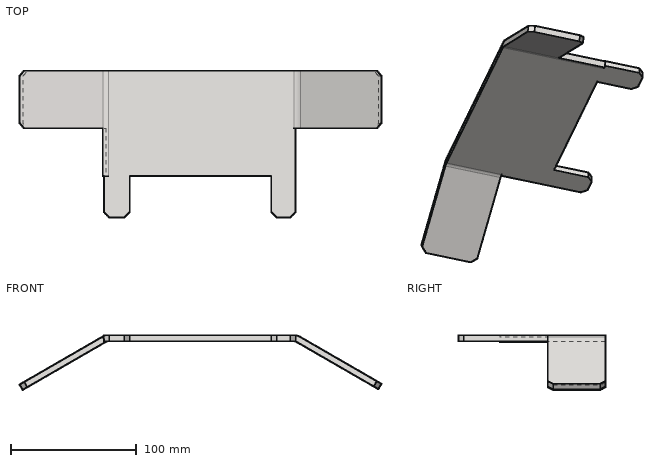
import cadquery as cq
import math

thickness = 5.05
bend_angle = 30.0
left_bend_x = -73.5
right_bend_x = 74.0
left_bend_radius = 9.0
right_bend_radius = 10.6

overall_width = 287.8
overall_depth = 116.8
plate_depth = 84.0
flange_depth = 46.0
left_edge_x = -76.8
right_edge_x = 75.7
tab_gap = 112.2
corner = 4.3

sine = math.sin(math.radians(bend_angle))
cosine = math.cos(math.radians(bend_angle))


def block(x_min, x_max, y_min, y_max):
    """Flat piece of the sheet with its top face on Z = 0."""
    return cq.Workplane("XY").box(
        x_max - x_min, y_max - y_min, thickness, centered=False
    ).translate((x_min, y_min, -thickness))


def tab(x_min, x_max):
    """Forward-pointing tab with chamfered front corners."""
    piece = block(x_min, x_max, -overall_depth, -plate_depth)
    return piece.faces("<Y").edges("|Z").chamfer(corner)


def bend(radius, depth):
    """Downward bend toward +X, starting at X = 0 and running forward from the back edge."""
    inner = radius - thickness
    half = math.radians(bend_angle / 2)
    profile = (
        cq.Workplane("XZ")
        .moveTo(0, 0)
        .threePointArc(
            (radius * math.sin(half), radius * math.cos(half) - radius),
            (radius * sine, radius * cosine - radius),
        )
        .lineTo(inner * sine, inner * cosine - radius)
        .threePointArc(
            (inner * math.sin(half), inner * math.cos(half) - radius),
            (0, -thickness),
        )
        .close()
    )
    return profile.extrude(depth)


def flange(radius, bend_x):
    """Sloping flange toward +X, from the end of a bend to the overall width."""
    length = (overall_width / 2 - bend_x - radius * sine) / cosine
    piece = block(0, length, -flange_depth, 0)
    piece = piece.faces(">X").edges("|Z").chamfer(corner)
    piece = piece.rotate((0, 0, 0), (0, 1, 0), bend_angle)
    return piece.translate((radius * sine, 0, radius * cosine - radius))


def wing(radius, bend_x, bend_depth):
    """Bend and flange together, placed on the right-hand side."""
    folded = bend(radius, bend_depth).union(flange(radius, bend_x))
    return folded.translate((bend_x, 0, 0))


plate = block(left_bend_x, right_bend_x, -plate_depth, 0)
side_strip = block(right_bend_x, right_edge_x, -plate_depth, -flange_depth)
left_tab = tab(left_edge_x, -tab_gap / 2)
right_tab = tab(tab_gap / 2, right_edge_x)

left_wing = wing(left_bend_radius, -left_bend_x, plate_depth).mirror("YZ")
right_wing = wing(right_bend_radius, right_bend_x, flange_depth)

result = (
    plate.union(side_strip)
    .union(left_tab)
    .union(right_tab)
    .union(left_wing)
    .union(right_wing)
)